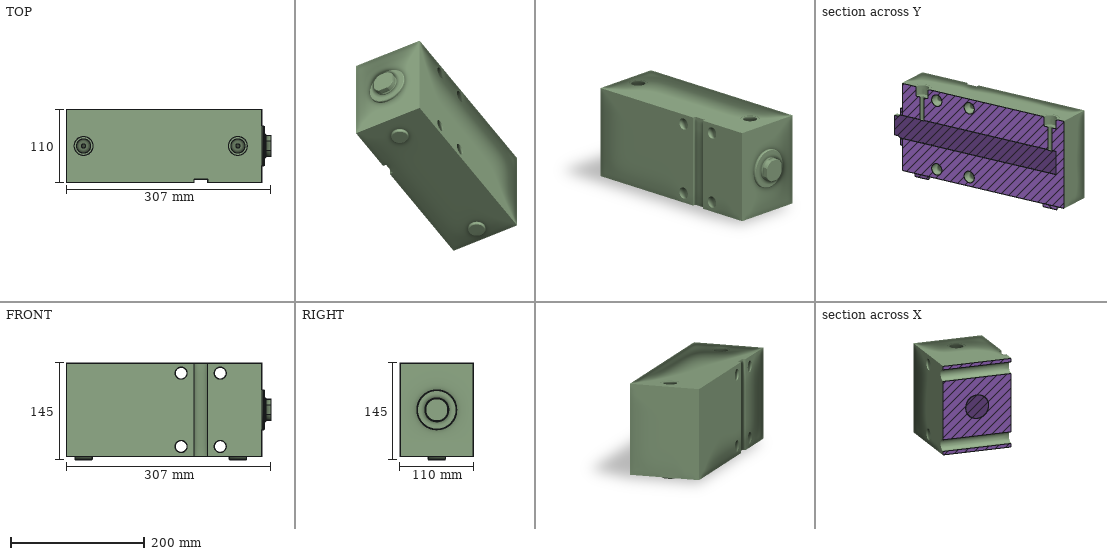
import cadquery as cq

total_length = 307.0
block_length = 293.0
block_width = 110.0
block_height = 140.0

slot_start = 191.5
slot_width = 20.0
slot_depth = 5.0

mount_hole_diameter = 17.5
mount_hole_inset = 15.0
mount_hole_positions = (172.0, 230.5)

port_positions = (25.8, 257.0)
port_diameter = 21.2
port_depth = 15.0
spotface_diameter = 28.2
spotface_depth = 0.3
oilway_diameter = 6.0

plug_diameter = 26.0
plug_height = 5.0
plug_chamfer = 1.0

gland_diameter = 60.0
gland_thickness = 3.7
gland_chamfer = 1.0

rod_diameter = 36.0
rod_shoulder = 6.0
rod_shoulder_chamfer = 1.2
tip_diameter = 35.0
tip_flat_width = 32.0
tip_chamfer = 0.5

axis_y = block_width / 2
axis_z = block_height / 2
shoulder_x = block_length + rod_shoulder
bore_start = port_positions[0] - port_diameter / 2
mount_hole_heights = (mount_hole_inset, block_height - mount_hole_inset)


def cylinder_z(x, z_top, diameter, depth):
    """Vertical cylinder on the centre plane, going down from z_top."""
    return (
        cq.Workplane("XY", origin=(x, axis_y, z_top))
        .circle(diameter / 2)
        .extrude(-depth)
    )


def cylinder_x(x_start, diameter, length):
    """Cylinder on the rod axis."""
    return (
        cq.Workplane("YZ", origin=(x_start, axis_y, axis_z))
        .circle(diameter / 2)
        .extrude(length)
    )


def make_block():
    block = cq.Workplane("XY").box(block_length, block_width, block_height, centered=False)

    slot = (
        cq.Workplane("XY")
        .box(slot_width, slot_depth, block_height, centered=False)
        .translate((slot_start, 0, 0))
    )
    block = block.cut(slot)

    mount_hole_centers = [(x, z) for x in mount_hole_positions for z in mount_hole_heights]
    mount_holes = (
        cq.Workplane("XZ")
        .pushPoints(mount_hole_centers)
        .circle(mount_hole_diameter / 2)
        .extrude(-block_width)
    )
    block = block.cut(mount_holes)

    for x in port_positions:
        block = block.cut(cylinder_z(x, block_height, spotface_diameter, spotface_depth))
        block = block.cut(cylinder_z(x, block_height, port_diameter, port_depth))
        block = block.cut(cylinder_z(x, block_height, oilway_diameter, block_height - axis_z))

    rod_bore = cylinder_x(bore_start, rod_diameter, block_length - bore_start)
    return block.cut(rod_bore)


def make_gland():
    return (
        cylinder_x(block_length, gland_diameter, gland_thickness)
        .faces(">X")
        .chamfer(gland_chamfer)
        .cut(cylinder_x(block_length, rod_diameter, gland_thickness))
    )


def make_rod():
    rod_radius = rod_diameter / 2
    shaft = (
        cq.Workplane("XZ", origin=(0, axis_y, axis_z))
        .moveTo(bore_start, 0)
        .lineTo(bore_start, rod_radius)
        .lineTo(shoulder_x - rod_shoulder_chamfer, rod_radius)
        .lineTo(shoulder_x, rod_radius - rod_shoulder_chamfer)
        .lineTo(shoulder_x, 0)
        .close()
        .revolve(360, (0, 0, 0), (1, 0, 0))
    )
    tip_length = total_length - shoulder_x
    flats = (
        cq.Workplane("YZ", origin=(shoulder_x, axis_y, axis_z))
        .rect(tip_flat_width, tip_flat_width)
        .extrude(tip_length)
    )
    tip = (
        cylinder_x(shoulder_x, tip_diameter, tip_length)
        .faces(">X")
        .chamfer(tip_chamfer)
        .intersect(flats)
    )
    return shaft.union(tip)


def make_plug(x):
    return cylinder_z(x, 0, plug_diameter, plug_height).faces("<Z").chamfer(plug_chamfer)


block = make_block()
gland = make_gland()
rod = make_rod()
plugs = [make_plug(x) for x in port_positions]

result = cq.Compound.makeCompound(
    [block.val(), gland.val(), rod.val(), *[plug.val() for plug in plugs]]
)